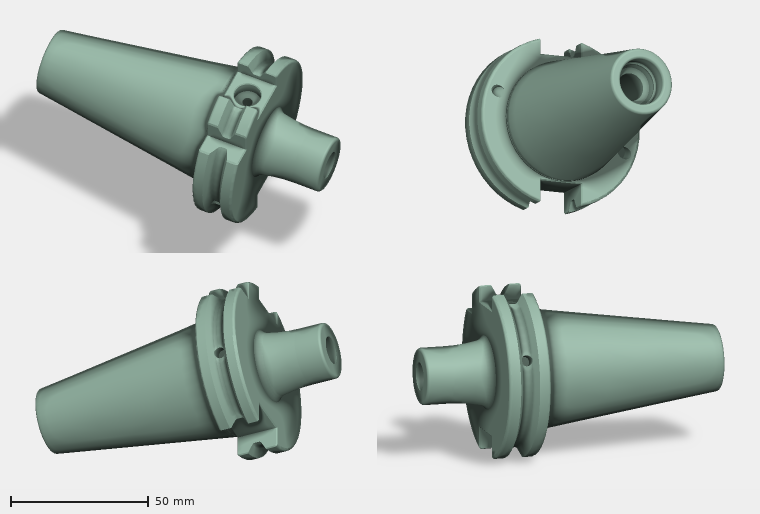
import cadquery as cq
import math

total_length = 112.4
flange_start = 71.6
flange_end = 87.5

gauge_radius = 22.3
gauge_x = 68.9
taper_slope = 7 / 48
taper_small_radius = gauge_radius - gauge_x * taper_slope
taper_tip_rounding = 1.0
neck_groove_start = 70.0
neck_groove_end = 70.8
neck_groove_depth = 0.1

flange_diameter = 63.5
flange_radius = flange_diameter / 2
rim_rounding = 1.0
groove_x = 79.5
groove_mouth_width = 7.2
groove_bottom_radius = 28.0
groove_wall_angle = 30.0
groove_bottom_rounding = 1.0

slot_width = 16.1
top_slot_floor = 24.8
bottom_slot_floor = 22.5
notch_edge = 18.4
slot_edge_chamfer = 0.5

recess_radius = 5.3
recess_depth = 4.5
recess_chamfer = 0.3
pilot_diameter = 3.7
pilot_radius = pilot_diameter / 2
pilot_depth = 5.6
drill_tip_half_angle = 59.0

hole_pair_angle = 20.0
radial_hole_radius = 2.0
radial_hole_depth = 3.9
slanted_hole_radius = 2.2
slanted_hole_depth = 1.3
slanted_hole_angle = 35.0
hole_circle_radius = 26.9

nose_diameter = 21.0
nose_radius = nose_diameter / 2
nose_straight_start = 102.3
nose_flare_start = 90.0
nose_flare_radius = 11.8
nose_root_radius = 13.6
nose_tip_rounding = 1.0

mouth_rounding = 0.9
counterbore_radius = 8.5
counterbore_depth = 6.3
pilot_bore_radius = 7.9
pilot_bore_start = 6.7
pilot_bore_end = 7.5
core_radius = 7.1
core_x = 9.3
bore_radius = 5.2


def along_x(radius, start, end):
    """Cylinder around the X axis."""
    return cq.Workplane("YZ").workplane(offset=start).circle(radius).extrude(end - start)


def revolve_around_x(outline):
    return outline.close().revolve(360, (0, 0, 0), (1, 0, 0))


def make_taper():
    taper = revolve_around_x(
        cq.Workplane("XY")
        .lineTo(0, taper_small_radius)
        .lineTo(gauge_x, gauge_radius)
        .lineTo(neck_groove_start, gauge_radius)
        .lineTo(neck_groove_start, gauge_radius - neck_groove_depth)
        .lineTo(neck_groove_end, gauge_radius - neck_groove_depth)
        .lineTo(neck_groove_end, gauge_radius)
        .lineTo(flange_start, gauge_radius)
        .lineTo(flange_start, 0)
    )
    return taper.faces("<X").edges().fillet(taper_tip_rounding)


def make_nose():
    """Straight nose with an arc flaring tangentially from it, then a tighter arc into the flange."""
    nose = revolve_around_x(
        cq.Workplane("XY")
        .moveTo(flange_end, 0)
        .lineTo(total_length, 0)
        .lineTo(total_length, nose_radius)
        .lineTo(nose_straight_start, nose_radius)
        .tangentArcPoint((nose_flare_start, nose_flare_radius), relative=False)
        .tangentArcPoint((flange_end, nose_root_radius), relative=False)
    )
    return nose.faces(">X").edges().fillet(nose_tip_rounding)


def make_gripper_groove():
    half_mouth = groove_mouth_width / 2
    depth = flange_radius - groove_bottom_radius
    wall_run = math.tan(math.radians(groove_wall_angle))
    half_bottom = half_mouth - depth * wall_run
    overshoot = 1.1
    half_outer = half_mouth + overshoot * wall_run
    ring = revolve_around_x(
        cq.Workplane("XY")
        .moveTo(groove_x - half_outer, flange_radius + overshoot)
        .lineTo(groove_x - half_bottom, groove_bottom_radius)
        .lineTo(groove_x + half_bottom, groove_bottom_radius)
        .lineTo(groove_x + half_outer, flange_radius + overshoot)
    )
    bottom_edges = cq.selectors.RadiusNthSelector(0)
    return ring.edges("%CIRCLE").edges(bottom_edges).fillet(groove_bottom_rounding)


def make_slot(y_min, y_max, z_min, z_max):
    """Rectangular channel along X through the whole flange."""
    return (
        cq.Workplane("XY")
        .box(flange_end - flange_start, y_max - y_min, z_max - z_min, centered=False)
        .translate((flange_start, y_min, z_min))
    )


def make_flange():
    flange = along_x(flange_radius, flange_start, flange_end).edges().fillet(rim_rounding)
    half_slot = slot_width / 2
    flange = flange.cut(make_slot(-half_slot, half_slot, top_slot_floor, flange_radius))
    flange = flange.cut(make_slot(-half_slot, half_slot, -flange_radius, -bottom_slot_floor))
    flange = flange.cut(make_slot(-flange_radius, -notch_edge, notch_edge, flange_radius))
    flange = flange.faces("<X or >X").edges("%LINE").chamfer(slot_edge_chamfer)
    return flange.cut(make_gripper_groove())


def make_recess():
    """Chamfered flat-bottomed recess with a drilled pilot hole, along -Z."""
    recess_floor = top_slot_floor - recess_depth
    pilot_end = recess_floor - pilot_depth
    tip_length = pilot_radius / math.tan(math.radians(drill_tip_half_angle))
    return (
        cq.Workplane("XZ")
        .moveTo(0, top_slot_floor)
        .lineTo(recess_radius, top_slot_floor)
        .lineTo(recess_radius - recess_chamfer, top_slot_floor - recess_chamfer)
        .lineTo(recess_radius - recess_chamfer, recess_floor)
        .lineTo(pilot_radius, recess_floor)
        .lineTo(pilot_radius, pilot_end)
        .lineTo(0, pilot_end - tip_length)
        .close()
        .revolve(360, (0, 0, 0), (0, 1, 0))
        .translate((groove_x, 0, 0))
    )


def make_blind_holes():
    """Blind radial hole in the groove and blind slanted hole in the flange face."""
    radial_floor = groove_bottom_radius - radial_hole_depth
    radial = cq.Solid.makeCylinder(
        radial_hole_radius,
        flange_radius - radial_floor,
        cq.Vector(groove_x, radial_floor, 0),
        cq.Vector(0, 1, 0),
    )
    slant = math.radians(slanted_hole_angle)
    direction = cq.Vector(math.cos(slant), -math.sin(slant), 0)
    entry = cq.Vector(flange_start, hole_circle_radius, 0)
    lead_in = 2 * slanted_hole_radius
    slanted = cq.Solid.makeCylinder(
        slanted_hole_radius, slanted_hole_depth + lead_in, entry - direction * lead_in, direction
    )
    return [
        cq.Workplane(hole).rotate((0, 0, 0), (1, 0, 0), hole_pair_angle)
        for hole in (radial, slanted)
    ]


def make_bore():
    tip_length = (core_radius - bore_radius) / math.tan(math.radians(drill_tip_half_angle))
    rounding_sagitta = mouth_rounding * (1 - math.sqrt(0.5))
    return revolve_around_x(
        cq.Workplane("XY")
        .lineTo(0, counterbore_radius + mouth_rounding)
        .threePointArc(
            (rounding_sagitta, counterbore_radius + rounding_sagitta),
            (mouth_rounding, counterbore_radius),
        )
        .lineTo(counterbore_depth, counterbore_radius)
        .lineTo(pilot_bore_start, pilot_bore_radius)
        .lineTo(pilot_bore_end, pilot_bore_radius)
        .lineTo(core_x, core_radius)
        .lineTo(core_x + tip_length, bore_radius)
        .lineTo(total_length, bore_radius)
        .lineTo(total_length, 0)
    )


result = make_taper().union(make_flange()).union(make_nose())
result = result.cut(make_recess())
for hole in make_blind_holes():
    for turn in (0, 180):
        result = result.cut(hole.rotate((0, 0, 0), (1, 0, 0), turn))
result = result.cut(make_bore())